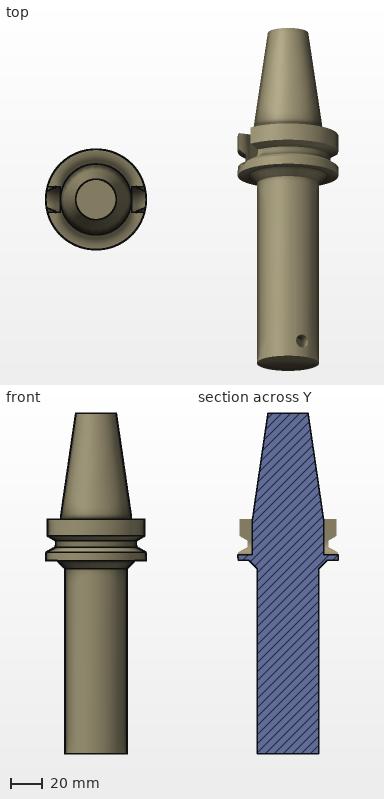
import cadquery as cq

taper_length = 65.4
nose_length = 148.0

gauge_diameter = 44.45
taper_ratio = 7 / 24
taper_tip_diameter = gauge_diameter - taper_ratio * taper_length

flange_diameter = 63.0
flange_top_z = -1.0
flange_bottom_z = -27.0
groove_diameter = 53.0
groove_centre_z = -16.6
groove_floor_width = 4.0
groove_mouth_width = 10.2

nose_diameter = 39.0
shoulder_height = 5.0
shoulder_diameter = nose_diameter + 2 * shoulder_height

slot_width = 16.1
slot_floor_distance = 22.5
slot_depth_z = 22.25

screw_hole_diameter = 8.3
screw_hole_depth = 8.5
screw_hole_height = 10.0


def make_body():
    """Revolve the half outline of the holder about Z."""
    flange_radius = flange_diameter / 2
    groove_radius = groove_diameter / 2
    outline = [
        (0, taper_length),
        (taper_tip_diameter / 2, taper_length),
        (gauge_diameter / 2, 0),
        (gauge_diameter / 2, flange_top_z),
        (flange_radius, flange_top_z),
        (flange_radius, groove_centre_z + groove_mouth_width / 2),
        (groove_radius, groove_centre_z + groove_floor_width / 2),
        (groove_radius, groove_centre_z - groove_floor_width / 2),
        (flange_radius, groove_centre_z - groove_mouth_width / 2),
        (flange_radius, flange_bottom_z),
        (shoulder_diameter / 2, flange_bottom_z),
        (nose_diameter / 2, flange_bottom_z - shoulder_height),
        (nose_diameter / 2, -nose_length),
        (0, -nose_length),
    ]
    return cq.Workplane("XZ").polyline(outline).close().revolve(360, (0, 0), (0, 1))


def make_drive_slot(side):
    """Cutter for one drive slot with a round lower end; side is -1 or +1 along X."""
    half_width = slot_width / 2
    slot_end_z = flange_top_z - slot_depth_z
    round_centre_z = slot_end_z + half_width
    return (
        cq.Workplane("YZ", origin=(side * slot_floor_distance, 0, 0))
        .moveTo(-half_width, flange_top_z)
        .lineTo(-half_width, round_centre_z)
        .threePointArc((0, slot_end_z), (half_width, round_centre_z))
        .lineTo(half_width, flange_top_z)
        .close()
        .extrude(side * flange_diameter / 2)
    )


def make_screw_hole():
    """Cutter for the blind radial hole, sunk from the +Y side of the nose."""
    hole_z = screw_hole_height - nose_length
    return (
        cq.Workplane("XZ", origin=(0, nose_diameter / 2, hole_z))
        .circle(screw_hole_diameter / 2)
        .extrude(screw_hole_depth)
    )


result = make_body()
for slot_side in (-1, 1):
    result = result.cut(make_drive_slot(slot_side))
result = result.cut(make_screw_hole())